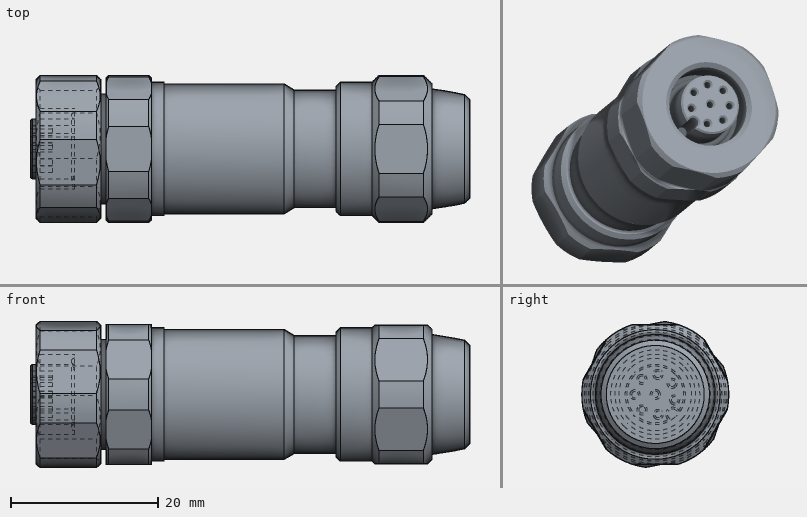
import cadquery as cq
import math

LENGTH = 59.75

NUT_START = 0.7
NUT_END = 9.55
GRIP_START = 10.3
GRIP_END = 16.45
RING_END = 18.15
BARREL_END = 34.5
WAIST_START = 35.85
COLLAR_START = 41.5
CLAMP_START = 46.4
CLAMP_END = 54.6
COLLAR_CHAMFER = 0.6

NECK_DIA = 15.0
RING_DIA = 18.15
BARREL_DIA = 17.7
WAIST_DIA = 16.0

HEX_SIDES = 6
HEX_CORNER_DIA = 20.0
NUT_FLATS = 19.0
GRIP_FLATS = 19.05
CLAMP_FLATS = 18.9
NUT_TURN = 19.0
BODY_HEX_TURN = 30.0
NUT_CHAMFER = 0.6
GRIP_CHAMFER = 0.35
CLAMP_FRONT_CHAMFER = 0.95
CLAMP_REAR_CHAMFER = 1.2

TAPER_START_DIA = 16.3
TAPER_END_DIA = 14.75
TAPER_BULGE = 0.05
END_CHAMFER = 0.7

BORE_DIA = 10.95
BORE_FLOOR = 6.0
BORE_CHAMFER = 0.6
SEAL_TUBE_RADIUS = 0.4

INSERT_DIA = 8.2
INSERT_CHAMFER = 0.25
CONTACT_CIRCLE_RADIUS = 2.75
CONTACT_COUNT = 7
CONTACT_PITCH = 49.0
CONTACT_DIA = 0.9
CONTACT_MOUTH_DIA = 1.4
CONTACT_MOUTH_DEPTH = 0.25
CONTACT_DEPTH = 3.0
KEY_ANGLE = 228.5
KEY_WIDTH = 1.45
KEY_RADIUS = 3.6


def turned(outline):
    """Revolve a closed (x, radius) outline, drawn in the XY plane, about the X axis."""
    return outline.close().revolve(360, (0, 0, 0), (1, 0, 0))


def rod(start, end, diameter):
    return cq.Workplane("YZ", origin=(start, 0, 0)).circle(diameter / 2).extrude(end - start)


def hex_section(start, end, flats, turn, front_chamfer, rear_chamfer):
    """Chamfered round bar cut to a hexagon; `turn` raises one flat from -Y toward +Z, in degrees."""
    radius = HEX_CORNER_DIA / 2
    bar = turned(
        cq.Workplane("XY")
        .moveTo(start, 0)
        .lineTo(start, radius - front_chamfer)
        .lineTo(start + front_chamfer, radius)
        .lineTo(end - rear_chamfer, radius)
        .lineTo(end, radius - rear_chamfer)
        .lineTo(end, 0)
    )
    half_side_angle = 180 / HEX_SIDES
    corner_to_corner = flats / math.cos(math.radians(half_side_angle))
    prism = (
        cq.Workplane("YZ", origin=(start, 0, 0))
        .polygon(HEX_SIDES, corner_to_corner)
        .extrude(end - start)
        .rotate((0, 0, 0), (1, 0, 0), half_side_angle - turn)
    )
    return bar.intersect(prism)


def housing():
    """Turned body from the neck behind the coupling nut to the clamp nut."""
    ring_radius = RING_DIA / 2
    return turned(
        cq.Workplane("XY")
        .moveTo(NUT_END, 0)
        .lineTo(NUT_END, NECK_DIA / 2)
        .lineTo(GRIP_END, NECK_DIA / 2)
        .lineTo(GRIP_END, ring_radius)
        .lineTo(RING_END, ring_radius)
        .lineTo(RING_END, BARREL_DIA / 2)
        .lineTo(BARREL_END, BARREL_DIA / 2)
        .lineTo(WAIST_START, WAIST_DIA / 2)
        .lineTo(COLLAR_START, WAIST_DIA / 2)
        .lineTo(COLLAR_START, ring_radius - COLLAR_CHAMFER)
        .lineTo(COLLAR_START + COLLAR_CHAMFER, ring_radius)
        .lineTo(CLAMP_START, ring_radius)
        .lineTo(CLAMP_START, 0)
    )


def cable_end():
    """Slightly bulged taper with a chamfered end."""
    taper_end = LENGTH - END_CHAMFER
    middle = (CLAMP_END + taper_end) / 2
    middle_radius = (TAPER_START_DIA + TAPER_END_DIA) / 4 + TAPER_BULGE
    end_radius = TAPER_END_DIA / 2
    return turned(
        cq.Workplane("XY")
        .moveTo(CLAMP_END, 0)
        .lineTo(CLAMP_END, TAPER_START_DIA / 2)
        .threePointArc((middle, middle_radius), (taper_end, end_radius))
        .lineTo(LENGTH, end_radius - END_CHAMFER)
        .lineTo(LENGTH, 0)
    )


def nut_socket():
    """Bore of the coupling nut with its chamfered mouth."""
    radius = BORE_DIA / 2
    return turned(
        cq.Workplane("XY")
        .moveTo(NUT_START, 0)
        .lineTo(NUT_START, radius + BORE_CHAMFER)
        .lineTo(NUT_START + BORE_CHAMFER, radius)
        .lineTo(BORE_FLOOR, radius)
        .lineTo(BORE_FLOOR, 0)
    )


def seal():
    """Sealing ring around the insert, half sunk in the bore floor."""
    centre_radius = INSERT_DIA / 2 + SEAL_TUBE_RADIUS
    return (
        cq.Workplane("XY")
        .center(BORE_FLOOR, centre_radius)
        .circle(SEAL_TUBE_RADIUS)
        .revolve(360, (0, -centre_radius, 0), (1, -centre_radius, 0))
    )


def contact_hole(y, z):
    """Blind contact hole with a conical mouth in the insert face."""
    mouth_radius = CONTACT_MOUTH_DIA / 2
    hole = turned(
        cq.Workplane("XY")
        .lineTo(0, mouth_radius)
        .lineTo(CONTACT_MOUTH_DEPTH, CONTACT_DIA / 2)
        .lineTo(CONTACT_DEPTH, CONTACT_DIA / 2)
        .lineTo(CONTACT_DEPTH, 0)
    )
    return hole.translate((0, y, z))


def insert_point(radius, angle):
    """(y, z) on the insert face; the angle runs from -Y toward +Z, in degrees."""
    turn = math.radians(angle)
    return -radius * math.cos(turn), radius * math.sin(turn)


def key_slot():
    """Round-bottomed coding slot, open at the rim of the insert."""
    y, z = insert_point(KEY_RADIUS, KEY_ANGLE)
    outer_y, outer_z = insert_point(KEY_RADIUS + KEY_WIDTH / 2, KEY_ANGLE)
    slot_end = cq.Workplane("YZ").center(y, z).circle(KEY_WIDTH / 2).extrude(BORE_FLOOR)
    slot_mouth = (
        cq.Workplane("YZ")
        .center((y + outer_y) / 2, (z + outer_z) / 2)
        .transformed(rotate=(0, 0, -KEY_ANGLE))
        .rect(KEY_WIDTH / 2, KEY_WIDTH)
        .extrude(BORE_FLOOR)
    )
    return slot_end.union(slot_mouth)


def insert():
    """Contact carrier: a centre contact, a circle of contacts opposite the key, and the key slot."""
    body = rod(0, BORE_FLOOR, INSERT_DIA).cut(key_slot())
    body = body.faces("<X").chamfer(INSERT_CHAMFER)
    body = body.cut(contact_hole(0, 0))
    first_angle = KEY_ANGLE - 180 - CONTACT_PITCH * (CONTACT_COUNT - 1) / 2
    for index in range(CONTACT_COUNT):
        y, z = insert_point(CONTACT_CIRCLE_RADIUS, first_angle + index * CONTACT_PITCH)
        body = body.cut(contact_hole(y, z))
    return body


coupling_nut = hex_section(NUT_START, NUT_END, NUT_FLATS, NUT_TURN, NUT_CHAMFER, NUT_CHAMFER)
grip_hex = hex_section(GRIP_START, GRIP_END, GRIP_FLATS, BODY_HEX_TURN, GRIP_CHAMFER, GRIP_CHAMFER)
clamp_nut = hex_section(
    CLAMP_START, CLAMP_END, CLAMP_FLATS, BODY_HEX_TURN, CLAMP_FRONT_CHAMFER, CLAMP_REAR_CHAMFER
)

result = coupling_nut.union(housing()).union(grip_hex).union(clamp_nut).union(cable_end())
result = result.cut(nut_socket()).union(seal()).union(insert())